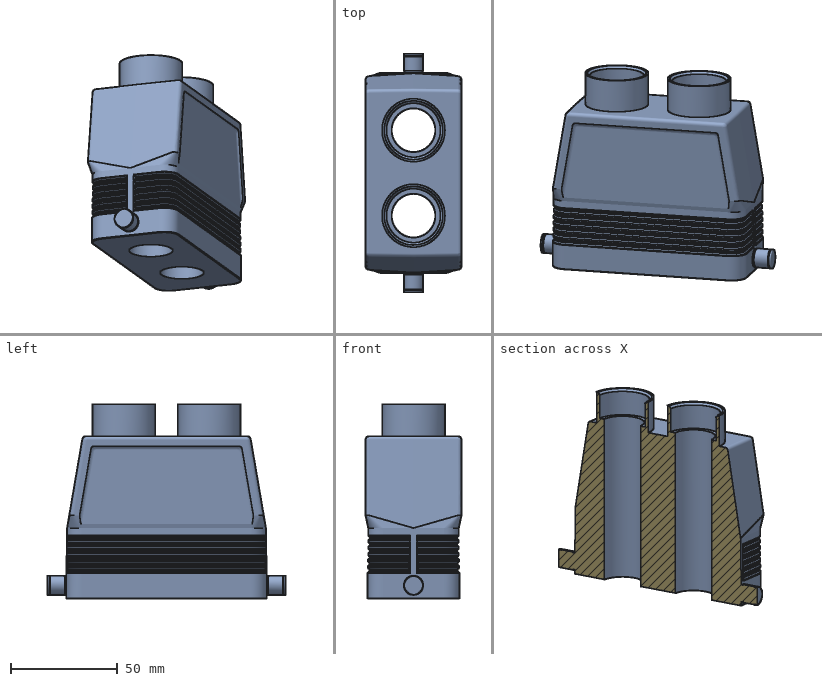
import cadquery as cq

skirt_half_x = 21.6
skirt_half_y = 46.9
skirt_height = 11.8
foot_chamfer = 0.3
corner_radius = 7.3

collar_top = 33.1
collar_inset = 0.3
collar_height = collar_top - skirt_height
collar_half_y = skirt_half_y - collar_inset

groove_count = 6
groove_pitch = 3.0
groove_depth = 0.9
groove_floor = 0.7
groove_flank = 0.8
groove_start = 12.2
end_rib_half_width = 1.6
crest_drop = 0.17
grip_band_edge = 0.2
ring_margin = 1.1

hood_width = 45.0
hood_half_x = hood_width / 2
hood_flare_top = 39.0
roof_z = 76.1
roof_half_y = 39.2
end_fold = 0.28
hood_fillet = 1.8

panel_depth = 0.9
panel_floor_x = hood_half_x - panel_depth
panel_wall_run = 1.2
panel_top = 71.4
panel_frame_width = 4.9
panel_corner_radius = 2.8
panel_floor_fillet = 1.3

part_height = 91.0
entry_spacing = 40.0
entry_radius = 14.7
bore_radius = 12.6
bore_depth = 12.5
bore_chamfer = 1.1
hole_radius = 10.2

pin_tip_y = 55.8
pin_z = 6.3
pin_diameter = 9.0
pin_radius = pin_diameter / 2
pin_edge_fillet = 0.3
pin_neck_radius = 4.2
pin_neck_length = 0.8
pin_groove_width = 0.5
pin_groove_depth = 0.17
pin_groove_from_tip = 1.0


def rounded_loft(lower, upper):
    """Straight-sided solid between two (half_x, half_y, radius, z) rounded rectangles."""
    sketches = []
    for half_x, half_y, radius, z in (lower, upper):
        sketch = cq.Sketch().rect(2 * half_x, 2 * half_y).vertices().fillet(radius)
        sketches.append(sketch.moved(cq.Location(cq.Vector(0, 0, z))))
    return cq.Workplane("XY").placeSketch(*sketches).loft(ruled=True)


def inset_section(inset, z):
    """Skirt section shrunk evenly by inset, at height z."""
    return (skirt_half_x - inset, skirt_half_y - inset, corner_radius - inset, z)


def hood_end_y(z):
    """Half length of the hood along the fold of its end faces at height z."""
    slope = (collar_half_y - roof_half_y) / (roof_z - collar_top)
    return collar_half_y - slope * (z - collar_top)


def make_skirt_and_collar():
    skirt = rounded_loft(inset_section(0, 0), inset_section(0, skirt_height))
    skirt = skirt.faces("<Z").edges().chamfer(foot_chamfer)
    collar = rounded_loft(inset_section(0, skirt_height), inset_section(collar_inset, collar_top))
    return skirt.union(collar)


def face_inset(z):
    """How far the drafted collar face has moved in from the skirt face at height z."""
    return collar_inset * (z - skirt_height) / collar_height


def make_end_ribs(depth, inset, z_low, z_high):
    """Upright ribs of both end faces, widening at 45 degrees from the face down to depth."""
    face_y = skirt_half_y - inset
    root_y = face_y - depth
    root_x = end_rib_half_width + depth
    outer_y = face_y + ring_margin
    outline = [
        (-root_x, root_y - ring_margin),
        (root_x, root_y - ring_margin),
        (root_x, root_y),
        (end_rib_half_width, face_y),
        (end_rib_half_width, outer_y),
        (-end_rib_half_width, outer_y),
        (-end_rib_half_width, face_y),
        (-root_x, root_y),
    ]
    rib = cq.Workplane("XY").workplane(offset=z_low).polyline(outline).close().extrude(z_high - z_low)
    return rib.union(rib.mirror("XZ"))


def make_ring(levels):
    """Ring cutter that leaves the end ribs, shaped by (z, depth below the collar face) levels."""
    z_low, z_high = levels[0][0], levels[-1][0]
    ring = rounded_loft(inset_section(-ring_margin, z_low), inset_section(-ring_margin, z_high))
    for (z_from, depth_from), (z_to, depth_to) in zip(levels, levels[1:]):
        ring = ring.cut(rounded_loft(
            inset_section(face_inset(z_from) + depth_from, z_from),
            inset_section(face_inset(z_to) + depth_to, z_to),
        ))
    deepest = max(depth for _, depth in levels)
    return ring.cut(make_end_ribs(deepest, face_inset((z_low + z_high) / 2), z_low, z_high))


def make_groove(index):
    z_foot = groove_start + index * groove_pitch
    z_floor = z_foot + groove_flank
    z_floor_end = z_floor + groove_floor
    return make_ring([
        (z_foot, crest_drop),
        (z_floor, groove_depth),
        (z_floor_end, groove_depth),
        (z_floor_end + groove_flank, crest_drop),
    ])


def make_grip_band():
    """Shallow band that sets the crests between the grooves just below the collar face."""
    grip_top = groove_start + (groove_count - 1) * groove_pitch + groove_floor + 2 * groove_flank
    return make_ring([(skirt_height, crest_drop), (grip_top + grip_band_edge, crest_drop)])


def hood_outline(z):
    fold_y = hood_end_y(z)
    side_y = fold_y - end_fold
    return [
        cq.Vector(hood_half_x, -side_y, z),
        cq.Vector(hood_half_x, side_y, z),
        cq.Vector(0, fold_y, z),
        cq.Vector(-hood_half_x, side_y, z),
        cq.Vector(-hood_half_x, -side_y, z),
        cq.Vector(0, -fold_y, z),
    ]


def make_hood():
    wires = [cq.Wire.makePolygon(hood_outline(z), close=True) for z in (collar_top, roof_z)]
    hood = cq.Workplane(cq.Solid.makeLoft(wires, True))
    corner_and_roof_edges = hood.edges("(not <Z) and (>Z or >X or <X)")
    hood = corner_and_roof_edges.fillet(hood_fillet)

    keep = (
        cq.Workplane("XZ")
        .polyline([
            (0, collar_top),
            (hood_half_x - hood_fillet, hood_flare_top),
            (hood_half_x, hood_flare_top),
            (hood_half_x, roof_z),
            (-hood_half_x, roof_z),
            (-hood_half_x, hood_flare_top),
            (hood_fillet - hood_half_x, hood_flare_top),
        ])
        .close()
        .extrude(skirt_half_y, both=True)
    )
    flare = rounded_loft(
        inset_section(collar_inset, collar_top),
        (hood_half_x, hood_end_y(hood_flare_top) - end_fold, hood_fillet, hood_flare_top),
    )
    return hood.intersect(keep).union(flare)


def panel_outline(x, inset):
    """Trapezoid of the panel at x, its sides and top edge inset from the opening."""
    top = panel_top - inset
    frame = panel_frame_width + inset
    foot_y = hood_end_y(collar_top) - frame
    top_y = hood_end_y(top) - frame
    corners = [(-foot_y, collar_top), (foot_y, collar_top), (top_y, top), (-top_y, top)]
    return cq.Wire.makePolygon([cq.Vector(x, y, z) for y, z in corners], close=True)


def make_panel_recess():
    """Cutter for the sunken panel on the +X side, open downward past the flare."""
    wires = [panel_outline(panel_floor_x, panel_wall_run), panel_outline(hood_half_x, 0)]
    recess = cq.Workplane(cq.Solid.makeLoft(wires, True))
    top_corners = cq.selectors.BoxSelector(
        (panel_floor_x, -skirt_half_y, panel_top - panel_wall_run),
        (hood_half_x, skirt_half_y, panel_top),
    )
    recess = recess.edges("not(<X or >X)").edges(top_corners).fillet(panel_corner_radius)
    return recess.faces("<X").edges("not <Z").fillet(panel_floor_fillet)


def make_cable_entry():
    """Cable socket standing on the Z axis, and the stepped hole through it."""
    socket = cq.Workplane("XY").workplane(offset=roof_z).circle(entry_radius).extrude(part_height - roof_z)
    profile = [
        (0, 0),
        (hole_radius, 0),
        (hole_radius, part_height - bore_depth),
        (bore_radius, part_height - bore_depth),
        (bore_radius, part_height - bore_chamfer),
        (bore_radius + bore_chamfer, part_height),
        (0, part_height),
    ]
    hole = cq.Workplane("XZ").polyline(profile).close().revolve(360, (0, 0), (0, 1))
    return socket, hole


def make_pin():
    """Pin on the +Y end face."""
    shoulder_y = skirt_half_y + pin_neck_length
    neck = cq.Workplane("XZ", origin=(0, skirt_half_y, pin_z)).circle(pin_neck_radius).extrude(-pin_neck_length)
    head = (
        cq.Workplane("XZ", origin=(0, shoulder_y, pin_z))
        .circle(pin_radius)
        .extrude(shoulder_y - pin_tip_y)
        .faces(">Y").edges().fillet(pin_edge_fillet)
    )
    groove_y = pin_tip_y - pin_groove_from_tip
    groove = (
        cq.Workplane("XZ", origin=(0, groove_y, pin_z))
        .circle(pin_radius)
        .circle(pin_radius - pin_groove_depth)
        .extrude(pin_groove_width)
    )
    return neck.union(head.cut(groove))


body = make_skirt_and_collar().cut(make_grip_band())
for index in range(groove_count):
    body = body.cut(make_groove(index))

recess = make_panel_recess()
body = body.union(make_hood()).cut(recess).cut(recess.mirror("YZ"))

socket, hole = make_cable_entry()
for y in (-entry_spacing / 2, entry_spacing / 2):
    body = body.union(socket.translate((0, y, 0))).cut(hole.translate((0, y, 0)))

pin = make_pin()
result = body.union(pin).union(pin.mirror("XZ"))